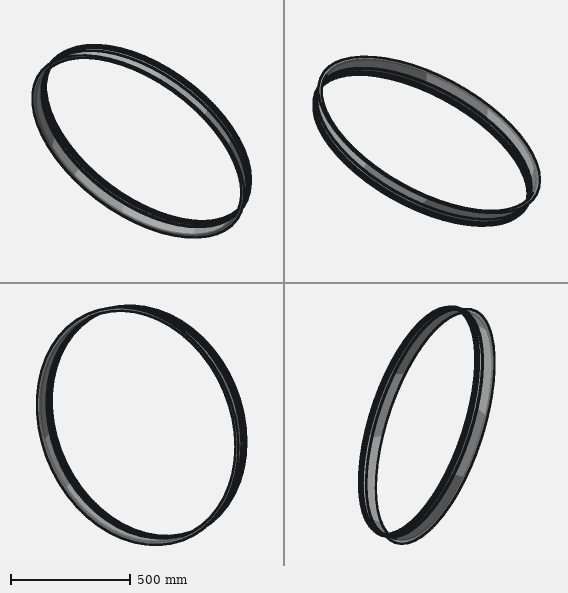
import cadquery as cq

flange_diameter = 1030.0
total_length = 83.0
sheet = 1.0

tube_diameter = 998.0
spigot_diameter = 995.0
corner_radius = 3.0
step_start = 47.0
step_end = 50.0
rim_depth = 4.0

gasket_start = 66.0
gasket_diameter = 998.0
shoulder_diameter = 1004.0
shoulder_start = 71.0
shoulder_end = 74.0
lip_diameter = 1009.0
lip_start = 69.0
lip_thickness = 1.0

flange_radius = flange_diameter / 2
tube_radius = tube_diameter / 2
spigot_radius = spigot_diameter / 2
rim_radius = gasket_diameter / 2
rim_start = total_length - rim_depth


def revolve_about_y(profile):
    """Revolve a closed radius-by-Y profile through a full turn about the Y axis."""
    return profile.close().revolve(360, (0, 0, 0), (0, 1, 0))


def make_collar():
    inner_bend = corner_radius + sheet
    profile = (
        cq.Workplane("XY")
        .moveTo(flange_radius, 0)
        .lineTo(flange_radius, sheet)
        .lineTo(tube_radius + corner_radius, sheet)
        .radiusArc((tube_radius, sheet + corner_radius), corner_radius)
        .lineTo(tube_radius, step_start)
        .lineTo(spigot_radius, step_end)
        .lineTo(spigot_radius, rim_start)
        .lineTo(rim_radius, rim_start)
        .lineTo(rim_radius, total_length)
        .lineTo(spigot_radius - sheet, total_length)
        .lineTo(spigot_radius - sheet, step_end)
        .lineTo(tube_radius - sheet, step_start)
        .lineTo(tube_radius - sheet, inner_bend)
        .radiusArc((tube_radius + corner_radius, 0), -inner_bend)
    )
    return revolve_about_y(profile)


def make_gasket():
    shoulder_radius = shoulder_diameter / 2
    lip_radius = lip_diameter / 2
    profile = (
        cq.Workplane("XY")
        .moveTo(spigot_radius, gasket_start)
        .lineTo(rim_radius, gasket_start)
        .lineTo(rim_radius, lip_start)
        .lineTo(lip_radius, lip_start)
        .lineTo(lip_radius, lip_start + lip_thickness)
        .lineTo(shoulder_radius, shoulder_start)
        .lineTo(shoulder_radius, shoulder_end)
        .lineTo(rim_radius, shoulder_end)
        .lineTo(rim_radius, rim_start)
        .lineTo(spigot_radius, rim_start)
    )
    return revolve_about_y(profile)


collar = make_collar()
gasket = make_gasket()

result = cq.Compound.makeCompound([collar.val(), gasket.val()])